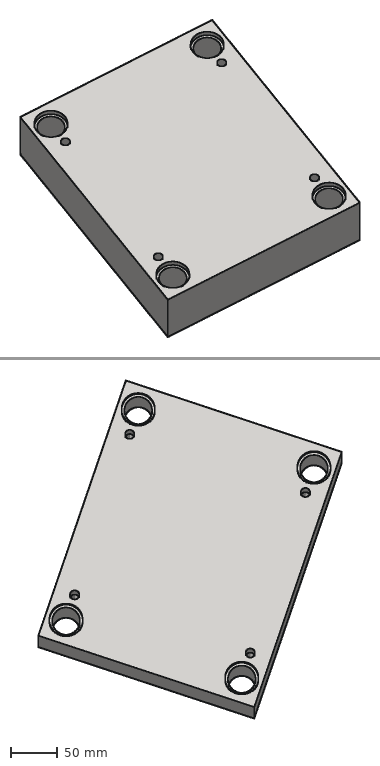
import cadquery as cq
import math

length = 295.7
width = 245.7
height = 66.0

bore_spacing_x = 244.0
bore_spacing_y = 200.0
bore_diameter = 30.0
counterbore_diameter = 36.0
counterbore_depth = 6.2

drill_spacing_x = 186.0
drill_diameter = 10.0
drill_depth = 23.7
drill_point_angle = 118


def drill_tool():
    """Drill-shaped solid: tip below, flat end on the XY plane."""
    radius = drill_diameter / 2
    tip_length = radius / math.tan(math.radians(drill_point_angle / 2))
    return (
        cq.Workplane("XZ")
        .polyline([(0, 0), (radius, 0), (radius, -drill_depth), (0, -drill_depth - tip_length)])
        .close()
        .revolve(360, (0, 0), (0, 1))
        .val()
    )


plate = cq.Workplane("XY").box(length, width, height)

bored_plate = (
    plate.faces(">Z")
    .workplane()
    .rarray(bore_spacing_x, bore_spacing_y, 2, 2)
    .cboreHole(bore_diameter, counterbore_diameter, counterbore_depth)
)

drills = (
    cq.Workplane("XY", origin=(0, 0, height / 2))
    .rarray(drill_spacing_x, bore_spacing_y, 2, 2)
    .eachpoint(drill_tool())
)

result = bored_plate.cut(drills)